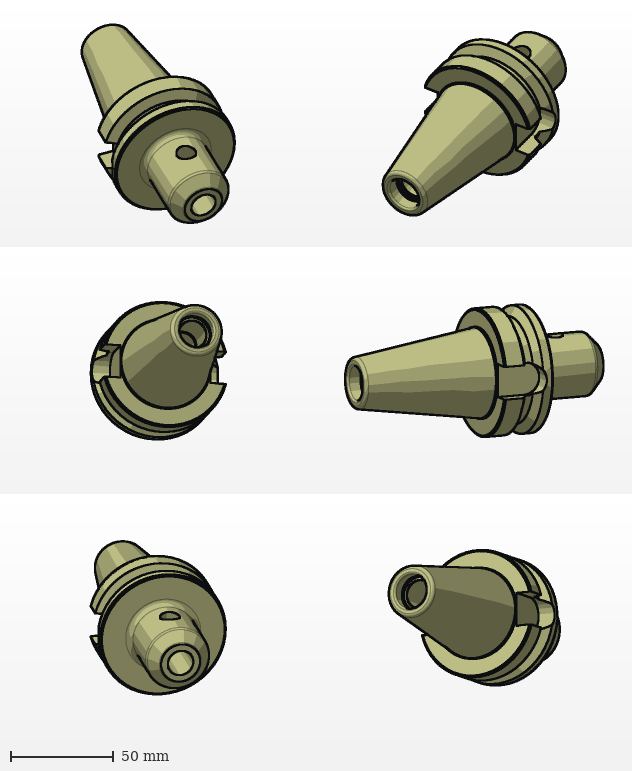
import cadquery as cq
import math

length = 128.9

gauge_x = 65.5
gauge_radius = 44.5 / 2
taper_slope = 7 / 24 / 2
taper_end_radius = gauge_radius - taper_slope * gauge_x
taper_end_round = 1.8

flange_front = 66.4
collar_radius = 22.5
flange_back = 92.2
flange_radius = 63.0 / 2
flange_chamfer = 0.8
groove_radius = 53.0 / 2
groove_floor_start = 79.7
groove_floor_end = 83.8
groove_flank_width = (flange_radius - groove_radius) * math.tan(math.radians(30))

nose_radius = 31.7 / 2
nose_fillet = 3.0
nose_cone_start = 122.7
nose_cone_end = 128.3
nose_tip_radius = 10.5
nose_shoulder_round = 1.9
nose_end_chamfer = 0.6

slot_width = 16.2
slot_floor = collar_radius
slot_end = 88.5

mouth_radius = 19.1 / 2
pilot_radius = 17.0 / 2
pilot_depth = 7.0
relief_radius = 17.5 / 2
relief_end = 8.9
thread_radius = 13.8 / 2
thread_chamfer_radius = 14.0 / 2
thread_end = 30.0
through_radius = 12.8 / 2

screw_hole_diameter = 9.7
screw_hole_x = 106.3


def revolve_about_x(profile):
    return profile.close().revolve(360, (0, 0, 0), (1, 0, 0))


def round_edge_at(body, x, radius, size):
    """Round the circular edge of the given radius at station x."""
    margin = 0.01
    reach = radius + margin
    box = cq.selectors.BoxSelector((x - margin, -reach, -reach), (x + margin, reach, reach), boundingbox=True)
    return body.edges(box).fillet(size)


def make_body():
    profile = (
        cq.Workplane("XY")
        .lineTo(0, taper_end_radius)
        .lineTo(gauge_x, gauge_radius)
        .lineTo(gauge_x, collar_radius)
        .lineTo(flange_front, collar_radius)
        .lineTo(flange_front, flange_radius - flange_chamfer)
        .lineTo(flange_front + flange_chamfer, flange_radius)
        .lineTo(groove_floor_start - groove_flank_width, flange_radius)
        .lineTo(groove_floor_start, groove_radius)
        .lineTo(groove_floor_end, groove_radius)
        .lineTo(groove_floor_end + groove_flank_width, flange_radius)
        .lineTo(flange_back - flange_chamfer, flange_radius)
        .lineTo(flange_back, flange_radius - flange_chamfer)
        .lineTo(flange_back, nose_radius)
        .lineTo(nose_cone_start, nose_radius)
        .lineTo(nose_cone_end, nose_tip_radius)
        .lineTo(length, nose_tip_radius - nose_end_chamfer)
        .lineTo(length, 0)
    )
    body = revolve_about_x(profile)
    body = round_edge_at(body, 0, taper_end_radius, taper_end_round)
    body = round_edge_at(body, flange_back, nose_radius, nose_fillet)
    return round_edge_at(body, nose_cone_start, nose_radius, nose_shoulder_round)


def make_bore():
    mouth_round = mouth_radius - pilot_radius
    arc_middle = mouth_round * (1 - math.sqrt(0.5))
    relief_chamfer = relief_radius - pilot_radius
    thread_chamfer = thread_chamfer_radius - thread_radius
    profile = (
        cq.Workplane("XY")
        .lineTo(0, mouth_radius)
        .threePointArc((arc_middle, pilot_radius + arc_middle), (mouth_round, pilot_radius))
        .lineTo(pilot_depth, pilot_radius)
        .lineTo(pilot_depth + relief_chamfer, relief_radius)
        .lineTo(relief_end - relief_chamfer, relief_radius)
        .lineTo(relief_end, pilot_radius)
        .lineTo(relief_end, thread_chamfer_radius)
        .lineTo(relief_end + thread_chamfer, thread_radius)
        .lineTo(thread_end, thread_radius)
        .lineTo(thread_end, through_radius)
        .lineTo(length, through_radius)
        .lineTo(length, 0)
    )
    return revolve_about_x(profile)


def make_drive_slot(side):
    """Round-ended slot, open at the front of the flange; side is +1 or -1 along Y."""
    half_width = slot_width / 2
    arc_center_x = slot_end - half_width
    return (
        cq.Workplane("XZ", origin=(0, side * slot_floor, 0))
        .moveTo(gauge_x, -half_width)
        .lineTo(arc_center_x, -half_width)
        .threePointArc((slot_end, 0), (arc_center_x, half_width))
        .lineTo(gauge_x, half_width)
        .close()
        .extrude(-side * flange_radius)
    )


def make_screw_hole():
    """Radial hole from the top of the nose into the bore."""
    return (
        cq.Workplane("XY")
        .center(screw_hole_x, 0)
        .circle(screw_hole_diameter / 2)
        .extrude(flange_radius)
    )


result = make_body().cut(make_bore()).cut(make_screw_hole())
for side in (1, -1):
    result = result.cut(make_drive_slot(side))